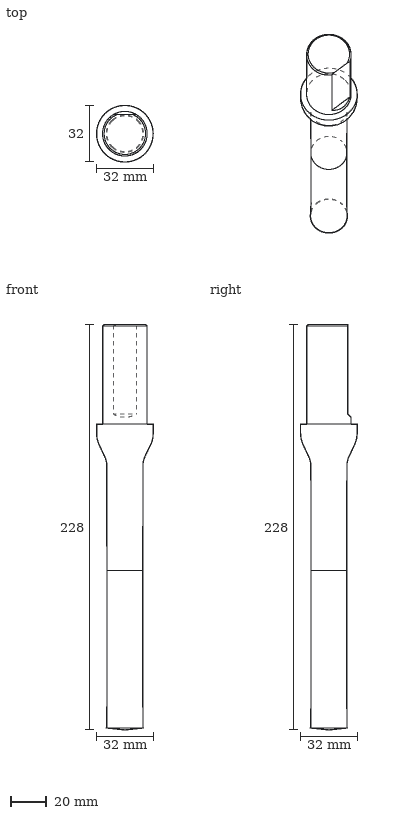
import cadquery as cq

total_length = 228.0
split_z = 89.5

body_diameter = 20.3
tip_diameter = 20.5
tip_top_z = 11.2
tip_taper_top_z = 14.1
lip_diameter = 21.0
lip_z = 1.1

neck_diameter = 20.5
neck_taper_top_z = 145.0
flare_bottom_z = 149.8
flare_lower_diameter = 22.1
flare_lower_z = 153.0
flare_upper_diameter = 27.5
flare_upper_z = 158.7
collar_diameter = 32.0
collar_bottom_z = 166.5
collar_top_z = 172.0
shank_diameter = 25.0
shank_chamfer_width = 1.0
shank_chamfer_height = 1.0

flat_distance = 10.7
flat_bottom_z = 177.5


def make_cutting_head():
    """Revolved head with a small lip and a shallow conical end, up to the split plane."""
    body_radius = body_diameter / 2
    tip_radius = tip_diameter / 2
    return (
        cq.Workplane("XZ")
        .lineTo(lip_diameter / 2, lip_z)
        .lineTo(tip_radius, lip_z)
        .lineTo(tip_radius, tip_top_z)
        .lineTo(body_radius, tip_taper_top_z)
        .lineTo(body_radius, split_z)
        .lineTo(0, split_z)
        .close()
        .revolve(360, (0, 0), (0, 1))
    )


def make_holder_blank():
    """Revolved holder, with a smooth S-shaped flare below the collar."""
    neck_radius = neck_diameter / 2
    collar_radius = collar_diameter / 2
    shank_radius = shank_diameter / 2
    flare_points = [
        (flare_lower_diameter / 2, flare_lower_z),
        (flare_upper_diameter / 2, flare_upper_z),
        (collar_radius, collar_bottom_z),
    ]
    return (
        cq.Workplane("XZ")
        .moveTo(0, split_z)
        .lineTo(body_diameter / 2, split_z)
        .lineTo(neck_radius, neck_taper_top_z)
        .lineTo(neck_radius, flare_bottom_z)
        .spline(flare_points, includeCurrent=True)
        .lineTo(collar_radius, collar_top_z)
        .lineTo(shank_radius, collar_top_z)
        .lineTo(shank_radius, total_length - shank_chamfer_height)
        .lineTo(shank_radius - shank_chamfer_width, total_length)
        .lineTo(0, total_length)
        .close()
        .revolve(360, (0, 0), (0, 1))
    )


def make_flat_cutter():
    """Prism that cuts the shank flat and its 45 degree run-out."""
    shank_radius = shank_diameter / 2
    ramp_bottom_z = flat_bottom_z - (shank_radius - flat_distance)
    return (
        cq.Workplane("YZ")
        .moveTo(flat_distance, flat_bottom_z)
        .lineTo(shank_radius, ramp_bottom_z)
        .lineTo(shank_radius, total_length)
        .lineTo(flat_distance, total_length)
        .close()
        .extrude(shank_radius, both=True)
    )


cutting_head = make_cutting_head()
holder = make_holder_blank().cut(make_flat_cutter())

result = cq.Compound.makeCompound([cutting_head.val(), holder.val()])